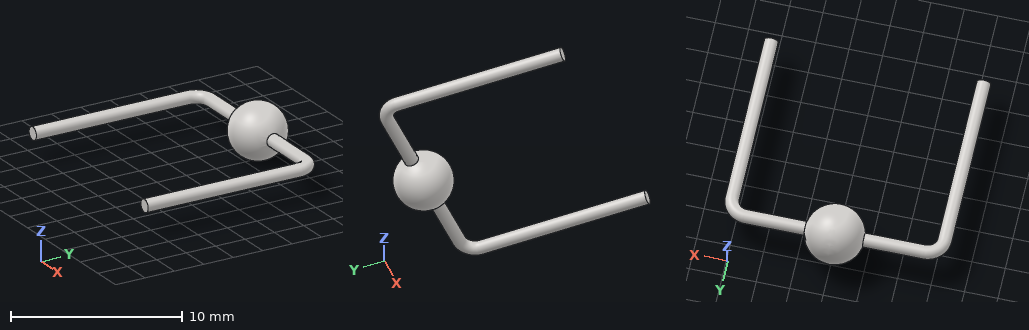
import cadquery as cq

overall_width = 13.55
overall_depth = 13.3
bead_diameter = 3.6
wire_diameter = 0.85
bend_radius = 1.0

wire_radius = wire_diameter / 2
bead_radius = bead_diameter / 2
leg_x = (overall_width - wire_diameter) / 2
leg_end_y = bead_radius - overall_depth
crossbar_end_x = leg_x - bend_radius


def bent_wire():
    """Round wire bent into a U with two legs pointing toward -Y."""
    centreline = (
        cq.Workplane("XY")
        .moveTo(-leg_x, leg_end_y)
        .lineTo(-leg_x, -bend_radius)
        .tangentArcPoint((-crossbar_end_x, 0), relative=False)
        .lineTo(crossbar_end_x, 0)
        .tangentArcPoint((leg_x, -bend_radius), relative=False)
        .lineTo(leg_x, leg_end_y)
    )
    return (
        cq.Workplane("XZ", origin=(-leg_x, leg_end_y, 0))
        .circle(wire_radius)
        .sweep(centreline)
    )


def bead():
    """Spherical bead at the middle of the crossbar."""
    return cq.Workplane("XY").sphere(bead_radius)


result = bent_wire().union(bead())